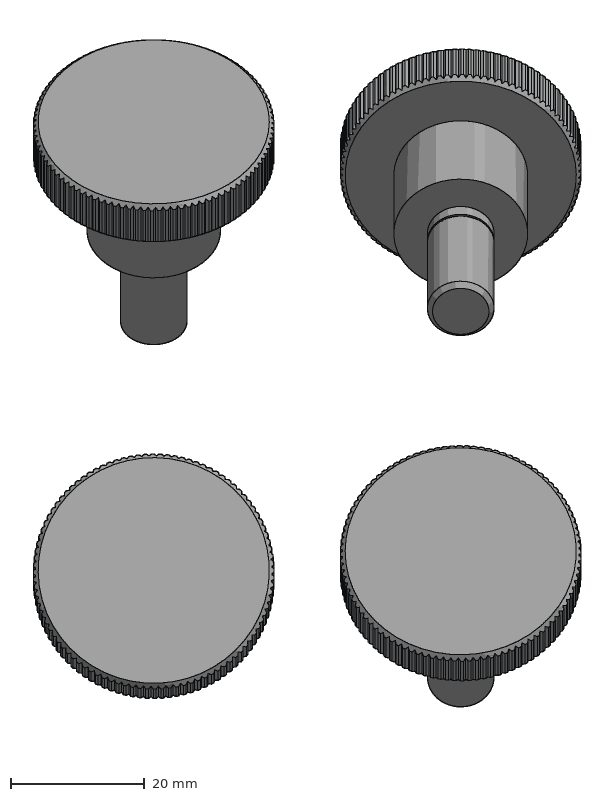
import cadquery as cq
import math

TOTAL_HEIGHT = 43.0

HEAD_DIAMETER = 36.0
HEAD_HEIGHT = 8.0
HEAD_CHAMFER = 0.75
KNURL_COUNT = 100
KNURL_DEPTH = 0.353
KNURL_ANGLE = 90.0
CUT_MARGIN = 0.45

HUB_DIAMETER = 20.0
HUB_HEIGHT = 15.0

STUD_DIAMETER = 9.98
NECK_LENGTH = 2.0
UNDERCUT = 0.4
TIP_CHAMFER = 0.77

HEAD_BOTTOM = TOTAL_HEIGHT - HEAD_HEIGHT
HUB_BOTTOM = HEAD_BOTTOM - HUB_HEIGHT
NECK_BOTTOM = HUB_BOTTOM - NECK_LENGTH


def turned_body():
    """Revolved half section: head, hub, neck and stud."""
    head_radius = HEAD_DIAMETER / 2
    hub_radius = HUB_DIAMETER / 2
    stud_radius = STUD_DIAMETER / 2
    half_section = [
        (0, 0),
        (stud_radius - TIP_CHAMFER, 0),
        (stud_radius, TIP_CHAMFER),
        (stud_radius, NECK_BOTTOM - UNDERCUT),
        (stud_radius - UNDERCUT, NECK_BOTTOM),
        (stud_radius, NECK_BOTTOM),
        (stud_radius, HUB_BOTTOM),
        (hub_radius, HUB_BOTTOM),
        (hub_radius, HEAD_BOTTOM),
        (head_radius - HEAD_CHAMFER, HEAD_BOTTOM),
        (head_radius, HEAD_BOTTOM + HEAD_CHAMFER),
        (head_radius, TOTAL_HEIGHT - HEAD_CHAMFER),
        (head_radius - HEAD_CHAMFER, TOTAL_HEIGHT),
        (0, TOTAL_HEIGHT),
    ]
    return cq.Workplane("XZ").polyline(half_section).close().revolve(360, (0, 0), (0, 1))


def knurled_blank():
    """Prism whose outline is the head circle notched by evenly spaced V grooves."""
    crest_radius = HEAD_DIAMETER / 2
    root_radius = crest_radius - KNURL_DEPTH
    pitch = 2 * math.pi / KNURL_COUNT
    groove_half_width = KNURL_DEPTH * math.tan(math.radians(KNURL_ANGLE / 2))
    groove_half_turn = groove_half_width / crest_radius

    def at(radius, turn):
        return (radius * math.cos(turn), radius * math.sin(turn))

    outline = cq.Workplane("XY").workplane(offset=HEAD_BOTTOM).moveTo(*at(root_radius, 0))
    for groove in range(KNURL_COUNT):
        start = groove * pitch
        end = start + pitch
        outline = outline.lineTo(*at(crest_radius, start + groove_half_turn))
        outline = outline.threePointArc(
            at(crest_radius, start + pitch / 2),
            at(crest_radius, end - groove_half_turn),
        )
        if groove < KNURL_COUNT - 1:
            outline = outline.lineTo(*at(root_radius, end))
    return outline.close().extrude(HEAD_HEIGHT)


def knurl_grooves():
    """Ring of material removed from the rim of the head."""
    ring = (
        cq.Workplane("XY")
        .workplane(offset=HEAD_BOTTOM)
        .circle(HEAD_DIAMETER / 2 + CUT_MARGIN)
        .extrude(HEAD_HEIGHT)
    )
    return ring.cut(knurled_blank())


result = turned_body().cut(knurl_grooves())